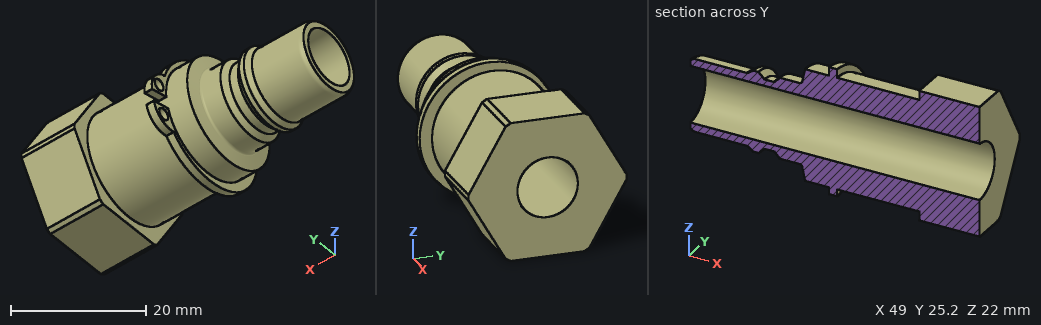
import cadquery as cq
import math

length = 49.0
bore_d = 9.5
nose_d = 12.45
nose_chamfer_angle = 30.0
nose_chamfer_length = 0.45
nose_blend_r = 0.95
bead_d = 13.8
bead_start = 9.65
bead_crest_start = 10.65
bead_crest_end = 11.55
neck_d = 11.85
neck_start = 12.6
neck_end = 14.2
collar_start = 15.15
collar_fillet_start = 18.5
collar_fillet = 0.4
barrel_d = 19.0
barrel_start = 19.4

hex_start = 38.7
hex_across_flats = 22.0
hex_corner_d = 24.9

ring_start = 23.45
ring_thickness = 1.4
ring_d = 21.65
ring_offset = 0.65
ring_tilt = 11.8
ring_gap = 2.05
lug_radius = 3.95
lug_center = 8.8
lug_hole_d = 2.0
lug_hole_y = 10.85
lug_hole_z = 2.6


def make_body():
    nose_r = nose_d / 2
    bead_r = bead_d / 2
    neck_r = neck_d / 2
    barrel_r = barrel_d / 2
    chamfer_angle = math.radians(nose_chamfer_angle)
    blend_start_r = nose_r - nose_blend_r * (1 - math.cos(chamfer_angle))
    blend_mid_r = nose_r - nose_blend_r * (1 - math.cos(chamfer_angle / 2))
    blend_end = nose_chamfer_length + nose_blend_r * math.sin(chamfer_angle)
    blend_mid = blend_end - nose_blend_r * math.sin(chamfer_angle / 2)
    nose_end_r = blend_start_r - nose_chamfer_length * math.tan(chamfer_angle)
    fillet_end = collar_fillet_start + collar_fillet
    fillet_mid = collar_fillet * 0.5**0.5
    return (
        cq.Workplane("XY")
        .moveTo(0, 0)
        .lineTo(0, nose_end_r)
        .lineTo(nose_chamfer_length, blend_start_r)
        .threePointArc((blend_mid, blend_mid_r), (blend_end, nose_r))
        .lineTo(bead_start, nose_r)
        .lineTo(bead_crest_start, bead_r)
        .lineTo(bead_crest_end, bead_r)
        .lineTo(neck_start, neck_r)
        .lineTo(neck_end, neck_r)
        .lineTo(collar_start, bead_r)
        .lineTo(collar_fillet_start, bead_r)
        .threePointArc(
            (collar_fillet_start + fillet_mid, bead_r + collar_fillet - fillet_mid),
            (fillet_end, bead_r + collar_fillet),
        )
        .lineTo(barrel_start, barrel_r)
        .lineTo(hex_start, barrel_r)
        .lineTo(hex_start, 0)
        .close()
        .revolve(360, (0, 0, 0), (1, 0, 0))
    )


def make_hex():
    plane = cq.Workplane("YZ", origin=(hex_start, 0, 0))
    hex_length = length - hex_start
    prism = plane.polygon(6, hex_across_flats, circumscribed=True).extrude(hex_length)
    prism = prism.rotate((0, 0, 0), (1, 0, 0), 30)
    return prism.intersect(plane.circle(hex_corner_d / 2).extrude(hex_length))


def make_lug(plane, side):
    """Half-disc lug on one side (+1 or -1) of the ring opening."""
    edge_z = side * ring_gap / 2
    return (
        plane.moveTo(lug_center - lug_radius, edge_z)
        .threePointArc((lug_center, edge_z + side * lug_radius), (lug_center + lug_radius, edge_z))
        .close()
        .extrude(ring_thickness)
    )


def make_ring():
    plane = cq.Workplane("YZ", origin=(ring_start, 0, 0))
    ring = plane.pushPoints([(-ring_offset, 0)]).circle(ring_d / 2).extrude(ring_thickness)
    gap_length = lug_center + lug_radius
    opening = (
        plane.pushPoints([(gap_length / 2, 0)])
        .rect(gap_length, ring_gap)
        .extrude(ring_thickness)
    )
    for side in (1, -1):
        ring = ring.union(make_lug(plane, side))
    holes = (
        plane.pushPoints([(lug_hole_y, lug_hole_z), (lug_hole_y, -lug_hole_z)])
        .circle(lug_hole_d / 2)
        .extrude(ring_thickness)
    )
    return ring.cut(opening).cut(holes).rotate((0, 0, 0), (1, 0, 0), -ring_tilt)


bore = cq.Workplane("YZ").circle(bore_d / 2).extrude(length)
result = make_body().union(make_hex()).union(make_ring()).cut(bore)